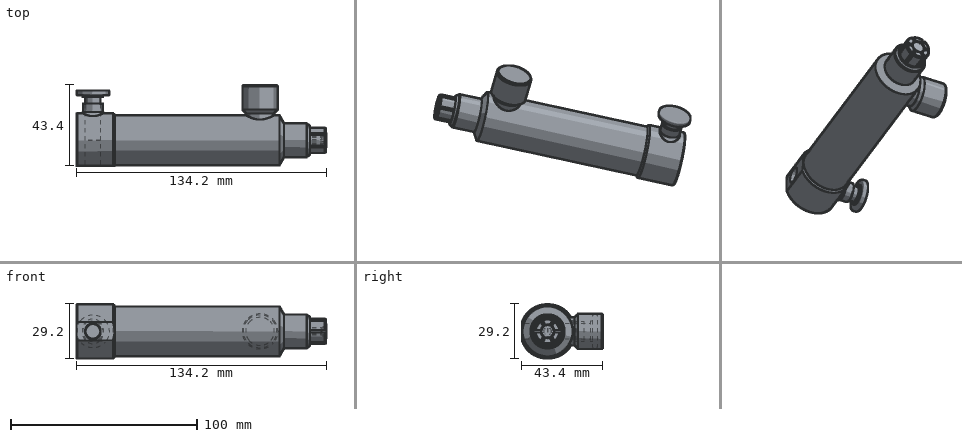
import cadquery as cq
import math


HEAD_DIA = 29.21
HEAD_REAR_CHAMFER = 0.5
HEAD_END_X = 20.7
HEAD_FLAT_Y = -13.72

BARREL_DIA = 26.92
BARREL_SHOULDER_X = 108.9
SHOULDER_ANGLE = 30

NOSE_DIA = 18.31
NOSE_END_X = 123.3
NOSE_CHAMFER = 0.45
COLLAR_END_X = 125.3
COLLAR_END_DIA = 15.19
COLLAR_EDGE_RADIUS = 3

TIP_DIA = 13.72
TIP_END_X = 133.8
TIP_CHAMFER_LENGTH = 0.8
TIP_CHAMFER_DEPTH = 0.46
SLOT_COUNT = 6
SLOT_WIDTH = 1.2
CORE_FLARE_X = 131.4
CORE_END_X = 134.18
CORE_END_DIA = 7.2
CORE_FLARE_ANGLE = 30

PORT_X = 98.5
PORT_DIA = 19.05
PORT_NECK_DIA = 15.19
PORT_TOP_Y = 29.71
PORT_CONE_Y = 16.4
PORT_RIM_DIA = 17.78
PORT_RIM_CHAMFER_LENGTH = 0.85

BUTTON_X = 8.85
BORE_DIA = 8.38
BOSS_DIA = 10.72
BOSS_TOP_Y = 19.6
BOSS_BASE_Y = 15.15
BOSS_BASE_ANGLE = 32
BOSS_FOOT_Y = 12.2

STEM_END_DIA = 7.95
STEM_END_Y = 0
FLANGE_DIA = 11.1
FLANGE_Y = 23.1
BUTTON_DIA = 17.6
BUTTON_BOTTOM_Y = 24.1
BUTTON_TOP_Y = 26.76
BUTTON_EDGE_RADIUS = 0.7


def turn_about_x(points):
    """Revolve (x, radius) points about the X axis."""
    return cq.Workplane("XY").polyline(points).close().revolve(360, (0, 0, 0), (1, 0, 0))


def turn_about_y(points, x):
    """Revolve (radius, y) points about an axis parallel to Y at the given x."""
    profile = cq.Workplane("XY").polyline(points).close()
    return profile.revolve(360, (0, 0, 0), (0, 1, 0)).translate((x, 0, 0))


def make_barrel():
    head_r = HEAD_DIA / 2
    barrel_r = BARREL_DIA / 2
    nose_r = NOSE_DIA / 2
    shoulder_length = (barrel_r - nose_r) * math.tan(math.radians(SHOULDER_ANGLE))
    profile = (
        cq.Workplane("XY")
        .polyline([
            (0, 0),
            (0, head_r - HEAD_REAR_CHAMFER),
            (HEAD_REAR_CHAMFER, head_r),
            (HEAD_END_X - (head_r - barrel_r), head_r),
            (HEAD_END_X, barrel_r),
            (BARREL_SHOULDER_X, barrel_r),
            (BARREL_SHOULDER_X + shoulder_length, nose_r),
            (NOSE_END_X, nose_r),
            (NOSE_END_X + NOSE_CHAMFER, nose_r - NOSE_CHAMFER),
        ])
        .radiusArc((COLLAR_END_X, COLLAR_END_DIA / 2), COLLAR_EDGE_RADIUS)
        .lineTo(COLLAR_END_X, 0)
        .close()
    )
    return profile.revolve(360, (0, 0, 0), (1, 0, 0))


def make_tip():
    tip_r = TIP_DIA / 2
    tip = turn_about_x([
        (COLLAR_END_X, 0),
        (COLLAR_END_X, tip_r),
        (TIP_END_X - TIP_CHAMFER_LENGTH, tip_r),
        (TIP_END_X, tip_r - TIP_CHAMFER_DEPTH),
        (TIP_END_X, 0),
    ])
    slot = cq.Workplane("XY").box(
        TIP_END_X - COLLAR_END_X, TIP_DIA, SLOT_WIDTH, centered=(False, False, True)
    ).translate((COLLAR_END_X, 0, 0))
    for i in range(SLOT_COUNT):
        tip = tip.cut(slot.rotate((0, 0, 0), (1, 0, 0), i * 360 / SLOT_COUNT))

    flare_growth = (CORE_END_X - CORE_FLARE_X) * math.tan(math.radians(CORE_FLARE_ANGLE))
    core_r = CORE_END_DIA / 2 - flare_growth
    core = turn_about_x([
        (COLLAR_END_X, 0),
        (COLLAR_END_X, core_r),
        (CORE_FLARE_X, core_r),
        (CORE_END_X, CORE_END_DIA / 2),
        (CORE_END_X, 0),
    ])
    return tip.union(core)


def make_port():
    port_r = PORT_DIA / 2
    neck_r = PORT_NECK_DIA / 2
    rim_r = PORT_RIM_DIA / 2
    return turn_about_y([
        (0, 0),
        (neck_r, 0),
        (neck_r, PORT_CONE_Y - (port_r - neck_r)),
        (port_r, PORT_CONE_Y),
        (port_r, PORT_TOP_Y - PORT_RIM_CHAMFER_LENGTH),
        (rim_r, PORT_TOP_Y),
        (0, PORT_TOP_Y),
    ], PORT_X)


def make_boss():
    boss_r = BOSS_DIA / 2
    foot_r = boss_r + (BOSS_BASE_Y - BOSS_FOOT_Y) * math.tan(math.radians(BOSS_BASE_ANGLE))
    return turn_about_y([
        (0, BOSS_FOOT_Y),
        (foot_r, BOSS_FOOT_Y),
        (boss_r, BOSS_BASE_Y),
        (boss_r, BOSS_TOP_Y),
        (0, BOSS_TOP_Y),
    ], BUTTON_X)


def make_housing():
    housing = make_barrel().union(make_tip()).union(make_port()).union(make_boss())
    below_flat = cq.Workplane("XY").box(
        HEAD_END_X, HEAD_DIA, HEAD_DIA, centered=(False, False, True)
    ).translate((0, HEAD_FLAT_Y - HEAD_DIA, 0))
    bore = turn_about_y([
        (0, HEAD_FLAT_Y),
        (BORE_DIA / 2, HEAD_FLAT_Y),
        (BORE_DIA / 2, BOSS_TOP_Y),
        (0, BOSS_TOP_Y),
    ], BUTTON_X)
    return housing.cut(below_flat).cut(bore)


def make_button():
    stem_r = BORE_DIA / 2
    stem_end_r = STEM_END_DIA / 2
    stem = turn_about_y([
        (0, STEM_END_Y),
        (stem_end_r, STEM_END_Y),
        (stem_r, STEM_END_Y + stem_r - stem_end_r),
        (stem_r, FLANGE_Y),
        (FLANGE_DIA / 2, FLANGE_Y),
        (FLANGE_DIA / 2, BUTTON_BOTTOM_Y),
        (0, BUTTON_BOTTOM_Y),
    ], BUTTON_X)
    disc = turn_about_y([
        (0, BUTTON_BOTTOM_Y),
        (BUTTON_DIA / 2, BUTTON_BOTTOM_Y),
        (BUTTON_DIA / 2, BUTTON_TOP_Y),
        (0, BUTTON_TOP_Y),
    ], BUTTON_X).edges().fillet(BUTTON_EDGE_RADIUS)
    return stem.union(disc)


housing = make_housing()
button = make_button()
result = cq.Compound.makeCompound([housing.val(), button.val()])